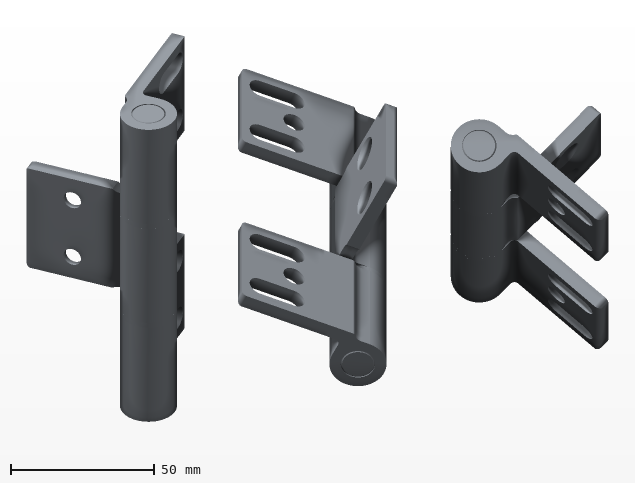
import cadquery as cq
import math


TOTAL_HEIGHT = 124.0
LEAF_SPAN = 60.0

WASHER_THICKNESS = 2.0
KNUCKLE_HEIGHT = (TOTAL_HEIGHT - 2 * WASHER_THICKNESS) / 3
KNUCKLE_PITCH = KNUCKLE_HEIGHT + WASHER_THICKNESS
KNUCKLE_DIAMETER = 20.0
KNUCKLE_RADIUS = KNUCKLE_DIAMETER / 2

PIN_DIAMETER = 12.0
PIN_CHAMFER = 0.5

LEAF_THICKNESS = 5.0
LEAF_FACE = 12.0
LEAF_BACK = LEAF_FACE - LEAF_THICKNESS
LEAF_END = LEAF_SPAN - KNUCKLE_RADIUS
CORNER_RADIUS = 2.0
STEP_CONVEX_RADIUS = 1.0
STEP_CONCAVE_RADIUS = 3.6
STEP_START = 3.5

SLOT_WIDTH = 8.0
SLOT_CENTER_LENGTH = 13.0
SLOT_SPACING = 24.0
SLOT_NEAR_CENTER = 30.0

SCREW_HOLE_DIAMETER = 6.6
COUNTERSINK_DIAMETER = 12.4
COUNTERSINK_ANGLE = 90
SCREW_HOLE_DISTANCE = 32.0
SCREW_HOLE_SPACING = 24.0
MIDDLE_LEAF_OVERHANG = 1.0
RELIEF_RADIUS = 5.0
RELIEF_START = 13.8


def leaf_profile():
    """Leaf and knuckle cross-section, with the leaf along +Y and its outer face at -X."""
    diagonal = math.sqrt(0.5)
    radius_sum = STEP_CONVEX_RADIUS + STEP_CONCAVE_RADIUS
    center_dx = radius_sum - (LEAF_FACE - KNUCKLE_RADIUS)
    center_dy = math.sqrt(radius_sum**2 - center_dx**2)
    turn = math.atan2(center_dy, center_dx)
    concave_x = -KNUCKLE_RADIUS - STEP_CONCAVE_RADIUS
    convex_x = -LEAF_FACE + STEP_CONVEX_RADIUS
    convex_y = STEP_START + center_dy

    def on_concave(angle):
        return (concave_x + STEP_CONCAVE_RADIUS * math.cos(angle),
                STEP_START + STEP_CONCAVE_RADIUS * math.sin(angle))

    def on_convex(angle):
        return (convex_x - STEP_CONVEX_RADIUS * math.cos(angle),
                convex_y - STEP_CONVEX_RADIUS * math.sin(angle))

    edge_x = -LEAF_BACK - CORNER_RADIUS
    edge_y = LEAF_END - CORNER_RADIUS
    fillet_x = -LEAF_BACK + CORNER_RADIUS
    fillet_y = KNUCKLE_RADIUS + CORNER_RADIUS
    mid = CORNER_RADIUS * diagonal
    return (
        cq.Workplane("XY")
        .moveTo(-KNUCKLE_RADIUS, 0)
        .lineTo(-KNUCKLE_RADIUS, STEP_START)
        .threePointArc(on_concave(turn / 2), on_concave(turn))
        .threePointArc(on_convex(turn / 2), on_convex(0))
        .lineTo(-LEAF_FACE, LEAF_END)
        .lineTo(edge_x, LEAF_END)
        .threePointArc((edge_x + mid, edge_y + mid), (-LEAF_BACK, edge_y))
        .lineTo(-LEAF_BACK, fillet_y)
        .threePointArc((fillet_x - mid, fillet_y - mid), (fillet_x, KNUCKLE_RADIUS))
        .lineTo(0, KNUCKLE_RADIUS)
        .threePointArc((KNUCKLE_RADIUS * diagonal, -KNUCKLE_RADIUS * diagonal), (-KNUCKLE_RADIUS, 0))
        .close()
    )


def extruded_leaf(height):
    """Leaf profile extruded symmetrically about Z = 0."""
    return leaf_profile().extrude(height / 2, both=True)


def side_outline_block(outline):
    """Turn a closed YZ outline into a block wide enough to trim a whole leaf."""
    return outline.extrude(KNUCKLE_DIAMETER, both=True)


def cut_across(points):
    """Workplane across the leaf plate, with its points given as (Y, Z)."""
    return cq.Workplane("YZ").pushPoints(points)


def pin_hole():
    """Cutter for the bore that the pin fills."""
    return cq.Workplane("XY").circle(PIN_DIAMETER / 2).extrude(TOTAL_HEIGHT / 2, both=True)


def make_slotted_leaf():
    """Leaf along +Y, as tall as its knuckle, with two slots and a round hole."""
    body_length = LEAF_END + KNUCKLE_RADIUS
    rounded_side = (
        cq.Workplane("XY")
        .box(2 * KNUCKLE_DIAMETER, body_length, KNUCKLE_HEIGHT)
        .translate((0, LEAF_END - body_length / 2, 0))
        .edges("|X and >Y")
        .fillet(CORNER_RADIUS)
    )
    slot_center = SLOT_NEAR_CENTER + SLOT_CENTER_LENGTH / 2
    slots = (
        cut_across([(slot_center, SLOT_SPACING / 2), (slot_center, -SLOT_SPACING / 2)])
        .slot2D(SLOT_CENTER_LENGTH + SLOT_WIDTH, SLOT_WIDTH)
        .extrude(-KNUCKLE_DIAMETER)
    )
    round_hole = cut_across([(SLOT_NEAR_CENTER, 0)]).circle(SLOT_WIDTH / 2).extrude(-KNUCKLE_DIAMETER)
    return extruded_leaf(KNUCKLE_HEIGHT).intersect(rounded_side).cut(slots).cut(round_hole).cut(pin_hole())


def middle_leaf_outline():
    """YZ outline of the middle leaf: taller plate, relieved next to the knuckle."""
    knuckle_z = KNUCKLE_HEIGHT / 2
    plate_z = knuckle_z + MIDDLE_LEAF_OVERHANG
    relief_angle = math.acos(1 - MIDDLE_LEAF_OVERHANG / RELIEF_RADIUS)

    def on_relief(angle):
        return (RELIEF_START + RELIEF_RADIUS * math.sin(angle),
                knuckle_z + RELIEF_RADIUS * (1 - math.cos(angle)))

    corner_y = LEAF_END - CORNER_RADIUS
    corner_z = plate_z - CORNER_RADIUS
    mid = CORNER_RADIUS * math.sqrt(0.5)
    return (
        cq.Workplane("YZ")
        .moveTo(-KNUCKLE_RADIUS, 0)
        .lineTo(-KNUCKLE_RADIUS, knuckle_z)
        .lineTo(RELIEF_START, knuckle_z)
        .threePointArc(on_relief(relief_angle / 2), on_relief(relief_angle))
        .lineTo(corner_y, plate_z)
        .threePointArc((corner_y + mid, corner_z + mid), (LEAF_END, corner_z))
        .lineTo(LEAF_END, 0)
        .mirrorX()
    )


def screw_hole():
    """Cutter along X: a through hole countersunk from the outer leaf face."""
    countersink_radius = COUNTERSINK_DIAMETER / 2
    hole_radius = SCREW_HOLE_DIAMETER / 2
    countersink_depth = (countersink_radius - hole_radius) / math.tan(math.radians(COUNTERSINK_ANGLE / 2))
    return (
        cq.Workplane("XY")
        .moveTo(-LEAF_FACE, 0)
        .lineTo(-LEAF_FACE, countersink_radius)
        .lineTo(-LEAF_FACE + countersink_depth, hole_radius)
        .lineTo(-LEAF_BACK, hole_radius)
        .lineTo(-LEAF_BACK, 0)
        .close()
        .revolve(360, (0, 0, 0), (1, 0, 0))
    )


def make_middle_leaf():
    """Leaf with two screw holes, mirrored across the plane Y = -X to lie along -X."""
    plate_height = KNUCKLE_HEIGHT + 2 * MIDDLE_LEAF_OVERHANG
    leaf = extruded_leaf(plate_height).intersect(side_outline_block(middle_leaf_outline()))
    for hole_z in (-SCREW_HOLE_SPACING / 2, SCREW_HOLE_SPACING / 2):
        leaf = leaf.cut(screw_hole().translate((0, SCREW_HOLE_DISTANCE, hole_z)))
    return leaf.cut(pin_hole()).mirror("YZ").rotate((0, 0, 0), (0, 0, 1), 90)


def make_washer():
    """Flat ring around the pin, centred on Z = 0."""
    return (
        cq.Workplane("XY", origin=(0, 0, -WASHER_THICKNESS / 2))
        .circle(KNUCKLE_RADIUS)
        .circle(PIN_DIAMETER / 2)
        .extrude(WASHER_THICKNESS)
    )


def make_pin():
    """Full-height pin, chamfered at both ends."""
    return (
        cq.Workplane("XY", origin=(0, 0, -TOTAL_HEIGHT / 2))
        .circle(PIN_DIAMETER / 2)
        .extrude(TOTAL_HEIGHT)
        .faces("<Z or >Z")
        .chamfer(PIN_CHAMFER)
    )


slotted_leaves = [make_slotted_leaf().translate((0, 0, side * KNUCKLE_PITCH)) for side in (-1, 1)]
middle_leaf = make_middle_leaf()
washers = [make_washer().translate((0, 0, side * KNUCKLE_PITCH / 2)) for side in (-1, 1)]
pin = make_pin()

result = cq.Compound.makeCompound(
    [
        *[leaf.val() for leaf in slotted_leaves],
        middle_leaf.val(),
        *[washer.val() for washer in washers],
        pin.val(),
    ]
)